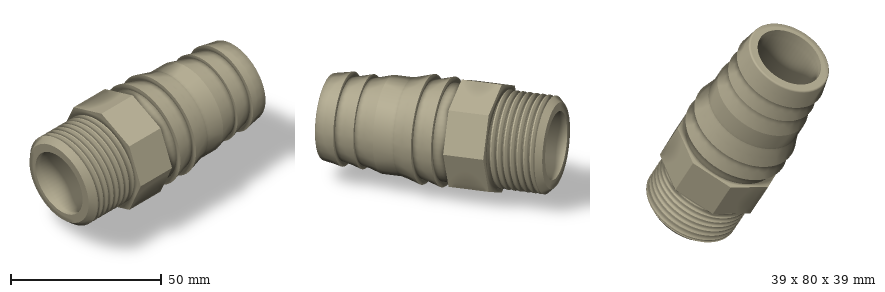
import cadquery as cq
import math

length = 80.0
bore_diameter = 23.3
body_diameter = 33.3

barb_length = 7.0
small_barb_diameter = 32.0
large_barb_diameter = 37.3
tip_diameter = 29.3
second_barb_neck_diameter = 28.3
third_barb_neck_diameter = 29.3
tip_fillet = 0.6

wrench_sides = 8
wrench_corner_diameter = 39.0
wrench_start = 19.1
wrench_length = 14.1

thread_root_diameter = 30.2
thread_pitch = 2.3
thread_base_width = 2.2
thread_crest_width = 0.4
thread_sink = 0.1
thread_crest_y = 17.4
collar_length = 2.1
collar_end_diameter = 29.3

body_radius = body_diameter / 2
thread_root_radius = thread_root_diameter / 2
thread_length = wrench_start - collar_length


def cylinder(diameter, start, height):
    """Cylinder along +Y that begins at Y = start."""
    return cq.Workplane("XZ", origin=(0, start, 0)).circle(diameter / 2).extrude(-height)


def make_hose_tail():
    """Revolved tail with two small barbs, a taper, a plain band and two large barbs."""
    steps = [length - barb_length * count for count in range(7)]
    outline = [
        (0, wrench_start),
        (body_radius, wrench_start),
        (body_radius, steps[6]),
        (large_barb_diameter / 2, steps[6]),
        (body_radius, steps[5]),
        (large_barb_diameter / 2, steps[5]),
        (body_radius, steps[4]),
        (body_radius, steps[3]),
        (third_barb_neck_diameter / 2, steps[2]),
        (small_barb_diameter / 2, steps[2]),
        (second_barb_neck_diameter / 2, steps[1]),
        (small_barb_diameter / 2, steps[1]),
        (tip_diameter / 2, length),
        (0, length),
    ]
    tail = cq.Workplane("XY").polyline(outline).close().revolve(360, (0, 0, 0), (0, 1, 0))
    return tail.faces(">Y").edges().fillet(tip_fillet)


def make_wrench_section():
    """Octagonal prism with corners on the X and Z axes."""
    return (
        cq.Workplane("XZ", origin=(0, wrench_start, 0))
        .polygon(wrench_sides, wrench_corner_diameter)
        .extrude(-wrench_length)
    )


def make_threaded_end():
    """Core that carries the thread, ending in a conical collar."""
    core = cylinder(thread_root_diameter, collar_length, thread_length)
    collar = (
        cq.Workplane("XY")
        .polyline([
            (0, 0),
            (collar_end_diameter / 2, 0),
            (body_radius, collar_length),
            (0, collar_length),
        ])
        .close()
        .revolve(360, (0, 0, 0), (0, 1, 0))
    )
    return core.union(collar)


def make_fitting():
    """Hose tail, wrench section and threaded end with a bore right through."""
    solid = make_hose_tail().union(make_wrench_section()).union(make_threaded_end())
    return solid.cut(cylinder(bore_diameter, 0, length))


def make_thread():
    """Right-handed ridge wound on the core, trimmed flush by the collar and the wrench section."""
    turns = math.ceil(thread_length / thread_pitch) + 2
    turns_below_crest = math.ceil((thread_crest_y - collar_length) / thread_pitch) + 1
    first_crest = thread_crest_y - turns_below_crest * thread_pitch
    flank_slope = (thread_base_width - thread_crest_width) / 2 / (body_radius - thread_root_radius)
    sunk_radius = thread_root_radius - thread_sink
    sunk_half_width = thread_base_width / 2 + thread_sink * flank_slope
    helix = cq.Wire.makeHelix(thread_pitch, turns * thread_pitch, thread_root_radius)
    ridge = (
        cq.Workplane("XZ")
        .polyline([
            (sunk_radius, -sunk_half_width),
            (body_radius, -thread_crest_width / 2),
            (body_radius, thread_crest_width / 2),
            (sunk_radius, sunk_half_width),
        ])
        .close()
        .sweep(cq.Workplane(helix), isFrenet=True)
        .rotate((0, 0, 0), (0, 0, 1), 180)
        .rotate((0, 0, 0), (1, 0, 0), -90)
        .translate((0, first_crest, 0))
    )
    trim = cylinder(wrench_corner_diameter, collar_length, thread_length).cut(
        cylinder(thread_root_diameter, collar_length, thread_length)
    )
    return ridge.intersect(trim)


fitting = make_fitting()
thread = make_thread()
result = cq.Compound.makeCompound([fitting.solids().val(), thread.solids().val()])